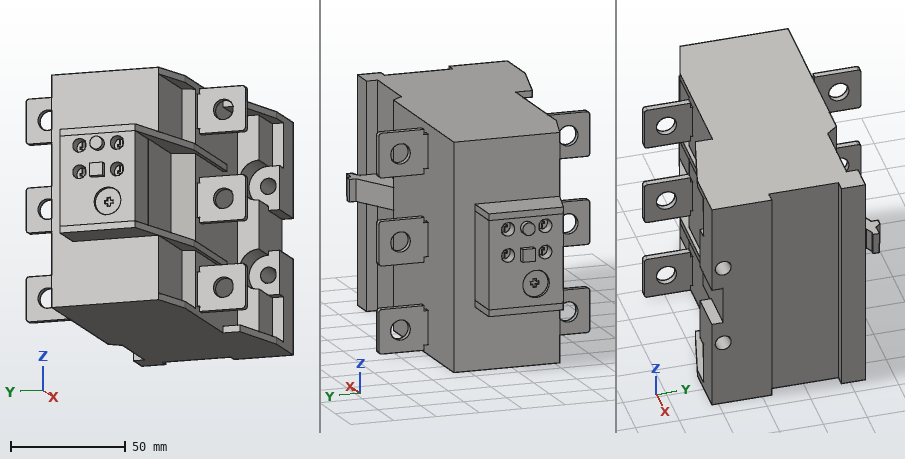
import cadquery as cq


length = 144.8
height = 104.5
back_y = 70.1
front_x = 20.9
wall_y = 15.0
flange_thickness = 3.0
half_height = height / 2
flange_inner_z = half_height - flange_thickness

nose_x = 2.9
nose_back_y = 60.2
nose_front_y = 25.5
rib_outer_z = 23.3
rib_inner_z = rib_outer_z - flange_thickness
rib_front_y = 13.3
rib_bend_x = 48.1
rib_slope = (nose_front_y - rib_front_y) / (rib_bend_x - nose_x)

outer_recess_y = nose_front_y - rib_slope * (front_x - nose_x)
flange_bend_x = 40.7

recess_end_x = 55.3
recess_step = 0.3
middle_recess_y = nose_front_y - recess_step
middle_recess_x = 51.4
outer_recess_x = 52.7

foot_x = 92.8
foot_bend_x = 121.8
foot_lip_y = 7.2
floor_x = 112.7
floor_y = 5.2
pocket_end_x = 131.2
pad_x = 125.8
slot_width = 18.2
pad_bore_radius = 9.0
pad_hole_diameter = 7.2

rail_depth = 4.8
rail_low_y = 27.4
rail_high_y = 59.1

relief_start_x = 98.3
relief_depth = 5.2
relief_end_x = 132.9
relief_y = back_y - relief_depth
relief_floor_x = 102.7
hook_low_z = 2.3
hook_high_z = 12.6
hook_stem_x = 123.1
hook_shoulder_y = 76.7
hook_nib_start_x = 126.1
hook_nib_end_x = 127.9
hook_nib_low_y = 78.3
hook_nib_high_y = 81.2
hook_nib_root_x = 122.8
hook_tip_start_x = 117.9
hook_tip_end_x = 120.8
hook_tip_base_y = 80.4
hook_tip_y = 83.5

terminal_pitch = 40.0
terminal_thickness = 2.9
front_tab_x = 58.0
back_tab_x = 53.9
tab_width = 20.3
tab_length = 21.1
tab_corner_radius = 1.5
tab_hole_diameter = 9.1
tab_hole_inset = 10.1
neck_width = 15.5
front_tip_y = -7.0
back_tip_y = 93.1
jog_y = (wall_y + back_y) / 2

button_size = 5.8
button_y = 42.5
upper_row_z = 15.5
lower_row_z = 3.6
screw_spacing_y = 17.4
screw_diameter = 6.1
screw_recess = 5.8
screw_slot_width = 1.5
screw_slot_depth = 1.5
screw_arm_length = 3.5
screw_arm_width = 1.0
dial_y = 38.2
dial_z = -10.4
dial_diameter = 12.3
dial_recess = 1.7
dial_cross_length = 3.9
dial_cross_width = 1.5
dial_cross_depth = 1.5


def box(x0, x1, y0, y1, z0, z1):
    """Box between two opposite corners."""
    return cq.Workplane("XY").box(x1 - x0, y1 - y0, z1 - z0, centered=False).translate((x0, y0, z0))


def slab(points, z0, z1):
    """Outline in X and Y, extruded from z0 to z1."""
    return cq.Workplane("XY").workplane(offset=z0).polyline(points).close().extrude(z1 - z0)


def rod(x0, x1, y, z, diameter):
    """Cylinder along X."""
    return cq.Workplane("YZ", origin=(x0, y, z)).circle(diameter / 2).extrude(x1 - x0)


def housing_shell():
    """Full-height outline with flanges, foot, rail notch and back relief."""
    outline = [
        (front_x, outer_recess_y),
        (flange_bend_x, wall_y),
        (foot_x, wall_y),
        (foot_x, foot_lip_y),
        (foot_bend_x, 0),
        (length, 0),
        (length, rail_low_y),
        (length - rail_depth, rail_low_y),
        (length - rail_depth, rail_high_y),
        (length, rail_high_y),
        (length, back_y),
        (relief_end_x, back_y),
        (relief_end_x, relief_y),
        (relief_floor_x, relief_y),
        (relief_start_x, back_y),
        (front_x, back_y),
    ]
    return slab(outline, -half_height, half_height)


def front_recess(recess_y, inclined_x, z0, z1):
    """Cutter for a recess that ends in an inclined face at the wall."""
    outline = [
        (front_x, 0),
        (front_x, recess_y),
        (inclined_x, recess_y),
        (recess_end_x, wall_y),
        (recess_end_x, 0),
    ]
    return slab(outline, z0, z1)


def rib(z0):
    """Plate beside the control block that runs back along the wall."""
    outline = [
        (nose_x, nose_front_y),
        (rib_bend_x, rib_front_y),
        (foot_x, rib_front_y),
        (foot_x, nose_front_y),
        (front_x, nose_front_y),
        (front_x, nose_back_y),
        (nose_x, nose_back_y),
    ]
    return slab(outline, z0, z0 + flange_thickness)


def foot_cuts():
    """Everything removed from the foot between the two side flanges."""
    pad_z = terminal_pitch / 2
    pocket_z = pad_z + pad_bore_radius
    cuts = box(foot_x, floor_x, 0, wall_y, -flange_inner_z, flange_inner_z)
    cuts = cuts.union(box(floor_x, pad_x, 0, floor_y, -flange_inner_z, flange_inner_z))
    cuts = cuts.union(box(pad_x, length, 0, floor_y, -slot_width / 2, slot_width / 2))
    for side in (-1, 1):
        low_z, high_z = sorted((side * pocket_z, side * flange_inner_z))
        cuts = cuts.union(box(pad_x, pocket_end_x, 0, floor_y, low_z, high_z))
        cuts = cuts.union(rod(floor_x, pad_x, floor_y, side * pad_z, 2 * pad_bore_radius))
        cuts = cuts.union(rod(pad_x, length, floor_y, side * pad_z, pad_hole_diameter))
    return cuts


def hook():
    """Latching hook on the back of the housing."""
    outline = [
        (relief_start_x, back_y),
        (hook_tip_start_x, hook_tip_base_y),
        (hook_tip_start_x, hook_tip_y),
        (hook_tip_end_x, hook_tip_y),
        (hook_nib_root_x, hook_nib_high_y),
        (hook_nib_end_x, hook_nib_high_y),
        (hook_nib_end_x, hook_nib_low_y),
        (hook_nib_start_x, hook_nib_low_y),
        (hook_stem_x, hook_shoulder_y),
        (hook_stem_x, relief_y),
        (relief_floor_x, relief_y),
    ]
    return slab(outline, hook_low_z, hook_high_z)


def make_housing(conductors):
    """Shell with its recesses, foot, ribs and hook, and a passage for each conductor."""
    body = housing_shell()
    body = body.cut(front_recess(outer_recess_y, outer_recess_x, -flange_inner_z, flange_inner_z))
    body = body.cut(foot_cuts())
    body = body.cut(front_recess(middle_recess_y, middle_recess_x, -rib_inner_z, rib_inner_z))
    body = body.union(rib(rib_inner_z)).union(rib(-rib_outer_z)).union(hook())
    for conductor in conductors:
        body = body.cut(conductor)
    return body


def tab(x, tip_y, direction, z):
    """Flat tab with a round hole; direction is the sense in Y from the tip to the housing."""
    root_y = tip_y + direction * tab_length
    low_y, high_y = sorted((tip_y, root_y))
    plate = box(x, x + terminal_thickness, low_y, high_y, z - tab_width / 2, z + tab_width / 2)
    tip_face = "<Y" if direction > 0 else ">Y"
    plate = plate.faces(tip_face).edges("|X").fillet(tab_corner_radius)
    hole_y = tip_y + direction * tab_hole_inset
    return plate.cut(rod(x, x + terminal_thickness, hole_y, z, tab_hole_diameter))


def make_terminal(z):
    """One conductor: front tab, neck, jog inside the housing, neck, back tab."""
    half_neck = neck_width / 2
    half_jog = terminal_thickness / 2
    front_end_x = front_tab_x + terminal_thickness
    back_end_x = back_tab_x + terminal_thickness
    strip = slab(
        [
            (front_tab_x, front_tip_y + tab_length),
            (front_end_x, front_tip_y + tab_length),
            (front_end_x, jog_y + half_jog),
            (back_end_x, jog_y + half_jog),
            (back_end_x, back_tip_y - tab_length),
            (back_tab_x, back_tip_y - tab_length),
            (back_tab_x, jog_y - half_jog),
            (front_tab_x, jog_y - half_jog),
        ],
        z - half_neck,
        z + half_neck,
    )
    return strip.union(tab(front_tab_x, front_tip_y, 1, z)).union(tab(back_tab_x, back_tip_y, -1, z))


def button_shapes():
    """Round button in the upper row and square button in the lower row."""
    half_button = button_size / 2
    round_button = rod(0, nose_x, button_y, upper_row_z, button_size)
    square_button = box(
        0, nose_x,
        button_y - half_button, button_y + half_button,
        lower_row_z - half_button, lower_row_z + half_button,
    )
    return round_button.union(square_button)


def groove(x, y, z, width_y, width_z, depth):
    """Straight-sided cutter centred on Y and Z that goes in along X."""
    half_y = width_y / 2
    half_z = width_z / 2
    return box(x, x + depth, y - half_y, y + half_y, z - half_z, z + half_z)


def screw_cut(y, z):
    """Sunk screw head with a slot right across it and a short cross arm."""
    head_x = nose_x + screw_recess
    bore = rod(nose_x, head_x, y, z, screw_diameter)
    head = rod(head_x, head_x + screw_slot_depth, y, z, screw_diameter)
    slot = groove(head_x, y, z, screw_slot_width, screw_diameter, screw_slot_depth).intersect(head)
    arm = groove(head_x, y, z, screw_arm_length, screw_arm_width, screw_slot_depth)
    return bore.union(slot).union(arm)


def dial_cut():
    """Sunk setting dial with a cross recess."""
    dial_x = nose_x + dial_recess
    bore = rod(nose_x, dial_x, dial_y, dial_z, dial_diameter)
    upright = groove(dial_x, dial_y, dial_z, dial_cross_width, dial_cross_length, dial_cross_depth)
    level = groove(dial_x, dial_y, dial_z, dial_cross_length, dial_cross_width, dial_cross_depth)
    return bore.union(upright).union(level)


def make_control_block():
    """Block held between the two ribs, with buttons, screws and dial on its face."""
    block = box(nose_x, front_x, nose_front_y, nose_back_y, -rib_inner_z, rib_inner_z)
    block = block.union(button_shapes())
    for side in (-1, 1):
        for z in (upper_row_z, lower_row_z):
            block = block.cut(screw_cut(button_y + side * screw_spacing_y / 2, z))
    return block.cut(dial_cut())


terminals = [make_terminal(row * terminal_pitch) for row in (-1, 0, 1)]
housing = make_housing(terminals)
control_block = make_control_block()

result = cq.Compound.makeCompound(
    [housing.val(), control_block.val(), *[terminal.val() for terminal in terminals]]
)